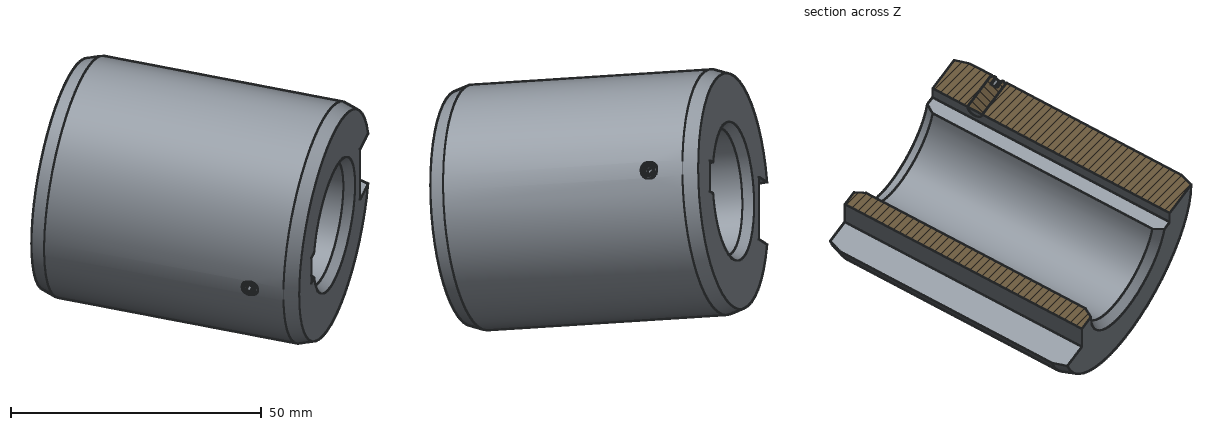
import cadquery as cq
import math

INCH = 25.4

length = 56.0
outer_radius = 1.9375 * INCH / 2
bore_radius = 1.0 * INCH / 2

rim_bevel_length = 3.0
rim_bevel_height = 1.0
bore_bevel_height = 1.2
bore_bevel_angle = 30.0
bore_bevel_length = bore_bevel_height / math.tan(math.radians(bore_bevel_angle))

keyway_width = INCH / 4
keyway_floor = 15.5
slot_width = INCH / 2
slot_floor = 17.3

screw_radius = 3.4 / 2
screw_end_distance = 10.0
screw_x = length / 2 - screw_end_distance
screw_length = outer_radius - keyway_floor
screw_bevel = 0.5
socket_across_flats = 1.5
socket_depth = 2.0


def make_sleeve():
    """Revolve the sleeve profile, bevelled at both ends, about the X axis."""
    end = length / 2
    profile = [
        (-end, bore_radius + bore_bevel_height),
        (-end, outer_radius - rim_bevel_height),
        (-end + rim_bevel_length, outer_radius),
        (end - rim_bevel_length, outer_radius),
        (end, outer_radius - rim_bevel_height),
        (end, bore_radius + bore_bevel_height),
        (end - bore_bevel_length, bore_radius),
        (-end + bore_bevel_length, bore_radius),
    ]
    return cq.Workplane("XZ").polyline(profile).close().revolve(360, (0, 0, 0), (1, 0, 0))


def make_keyway():
    """Full-length groove from the axis out to the keyway floor."""
    return cq.Workplane("XY").box(length, keyway_floor, keyway_width).translate((0, -keyway_floor / 2, 0))


def make_slot():
    """Full-length groove from the slot floor out past the outer surface."""
    return (
        cq.Workplane("XY")
        .box(length, outer_radius, slot_width)
        .translate((0, slot_floor + outer_radius / 2, 0))
    )


def screw_plane():
    """Plane on the outer end of the screw, with its normal pointing to -Y."""
    return cq.Workplane("XZ", origin=(screw_x, -outer_radius, 0))


def make_screw_hole():
    """Plain cylinder from the outer surface to the keyway floor."""
    return screw_plane().circle(screw_radius).extrude(-screw_length)


def make_socket():
    """Hexagonal recess with two of its corners pointing along Z."""
    across_corners = socket_across_flats / math.cos(math.radians(30))
    return (
        screw_plane()
        .transformed(rotate=(0, 0, 90))
        .polygon(6, across_corners)
        .extrude(-socket_depth)
    )


def make_screw():
    """Cylinder filling the screw hole, with a bevelled outer end and a socket."""
    return make_screw_hole().faces("<Y").chamfer(screw_bevel).cut(make_socket())


collar = make_sleeve().cut(make_keyway()).cut(make_slot()).cut(make_screw_hole())
set_screw = make_screw()

result = cq.Compound.makeCompound([collar.val(), set_screw.val()])